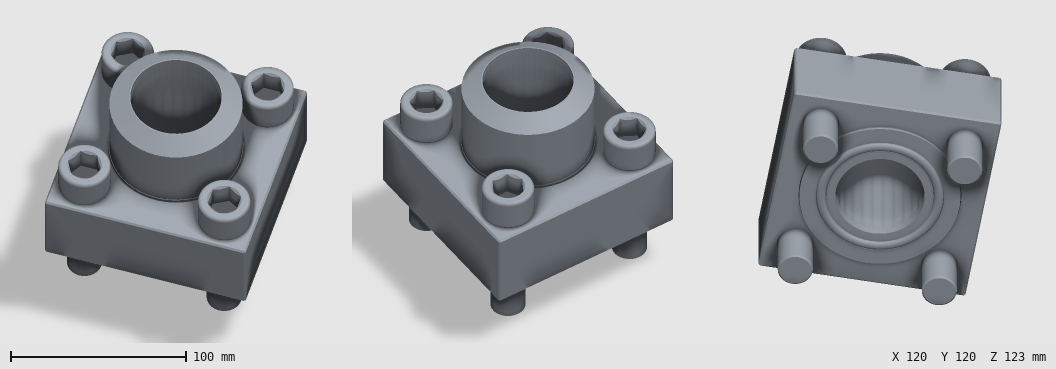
import cadquery as cq
import math

FLANGE_SIDE = 120.0
FLANGE_THICKNESS = 48.1
EDGE_CHAMFER = 1.0
FLANGE_BOTTOM = 26.9
FLANGE_TOP = FLANGE_BOTTOM + FLANGE_THICKNESS
NECK_HOLE_DIAMETER = 77.5
COUNTERBORE_DIAMETER = 93.0
COUNTERBORE_DEPTH = 17.2
SCREW_HOLE_DIAMETER = 21.0
SCREW_PITCH = 83.5

NECK_TOP = 123.0
NECK_BOTTOM = 25.2
NECK_DIAMETER = 76.1
COLLAR_DIAMETER = 77.0
COLLAR_RISE = 0.5
COLLAR_TOP = FLANGE_TOP + COLLAR_RISE
FOOT_DIAMETER = 92.0
FOOT_TOP = FLANGE_BOTTOM + COUNTERBORE_DEPTH
RIM_DIAMETER = 53.3
BEVEL_ANGLE = 30.0
BORE_TOP_DIAMETER = 52.2
BORE_BOTTOM_DIAMETER = 51.0
STRAIGHT_BORE_DEPTH = 24.0

GROOVE_INNER_DIAMETER = 61.5
GROOVE_OUTER_DIAMETER = 73.2
SEAL_PROTRUSION = 1.6
SEAL_CORD_RADIUS = (GROOVE_OUTER_DIAMETER - GROOVE_INNER_DIAMETER) / 4
SEAL_CENTRE_RADIUS = (GROOVE_OUTER_DIAMETER + GROOVE_INNER_DIAMETER) / 4
GROOVE_DEPTH = 2 * SEAL_CORD_RADIUS - SEAL_PROTRUSION

SHANK_DIAMETER = 20.0
SHANK_CHAMFER = 1.0
HEAD_DIAMETER = 30.0
HEAD_HEIGHT = 20.0
HEAD_FILLET = 2.0
SOCKET_CORNER_DIAMETER = 19.7
SOCKET_DEPTH = 14.0
SOCKET_CHAMFER_ANGLE = 45.0


def make_flange():
    block = (
        cq.Workplane("XY")
        .workplane(offset=FLANGE_BOTTOM)
        .rect(FLANGE_SIDE, FLANGE_SIDE)
        .extrude(FLANGE_THICKNESS)
        .edges()
        .chamfer(EDGE_CHAMFER)
    )
    block = (
        block.faces(">Z")
        .workplane(origin=(0, 0, FLANGE_TOP))
        .hole(NECK_HOLE_DIAMETER)
        .faces(">Z")
        .edges("%CIRCLE")
        .chamfer(EDGE_CHAMFER)
    )
    counterbore = (
        cq.Workplane("XY")
        .workplane(offset=FLANGE_BOTTOM)
        .circle(COUNTERBORE_DIAMETER / 2)
        .extrude(COUNTERBORE_DEPTH)
    )
    screw_holes = (
        cq.Workplane("XY")
        .workplane(offset=FLANGE_BOTTOM)
        .rect(SCREW_PITCH, SCREW_PITCH, forConstruction=True)
        .vertices()
        .circle(SCREW_HOLE_DIAMETER / 2)
        .extrude(FLANGE_THICKNESS)
    )
    return block.cut(counterbore).cut(screw_holes)


def make_weld_neck():
    bevel_width = (NECK_DIAMETER - RIM_DIAMETER) / 2
    bevel_height = bevel_width * math.tan(math.radians(BEVEL_ANGLE))
    body = (
        cq.Workplane("XZ")
        .moveTo(BORE_BOTTOM_DIAMETER / 2, NECK_BOTTOM)
        .lineTo(FOOT_DIAMETER / 2, NECK_BOTTOM)
        .lineTo(FOOT_DIAMETER / 2, FOOT_TOP)
        .lineTo(COLLAR_DIAMETER / 2, FOOT_TOP)
        .lineTo(COLLAR_DIAMETER / 2, COLLAR_TOP)
        .lineTo(NECK_DIAMETER / 2, COLLAR_TOP)
        .lineTo(NECK_DIAMETER / 2, NECK_TOP - bevel_height)
        .lineTo(RIM_DIAMETER / 2, NECK_TOP)
        .lineTo(BORE_TOP_DIAMETER / 2, NECK_TOP)
        .lineTo(BORE_TOP_DIAMETER / 2, NECK_TOP - STRAIGHT_BORE_DEPTH)
        .close()
        .revolve(360, (0, 0, 0), (0, 1, 0))
    )
    groove = (
        cq.Workplane("XY")
        .workplane(offset=NECK_BOTTOM)
        .circle(GROOVE_OUTER_DIAMETER / 2)
        .circle(GROOVE_INNER_DIAMETER / 2)
        .extrude(GROOVE_DEPTH)
    )
    return body.cut(groove)


def make_seal_ring():
    centre_height = NECK_BOTTOM - SEAL_PROTRUSION + SEAL_CORD_RADIUS
    return (
        cq.Workplane("XZ")
        .center(SEAL_CENTRE_RADIUS, centre_height)
        .circle(SEAL_CORD_RADIUS)
        .revolve(360, (-SEAL_CENTRE_RADIUS, 0, 0), (-SEAL_CENTRE_RADIUS, 1, 0))
    )


def make_screw():
    """Screw on the Z axis with its tip at Z = 0 and its head resting on the flange."""
    head_top = FLANGE_TOP + HEAD_HEIGHT
    shank = (
        cq.Workplane("XY")
        .circle(SHANK_DIAMETER / 2)
        .extrude(FLANGE_TOP)
        .faces("<Z")
        .chamfer(SHANK_CHAMFER)
    )
    head = (
        cq.Workplane("XY")
        .workplane(offset=FLANGE_TOP)
        .circle(HEAD_DIAMETER / 2)
        .extrude(HEAD_HEIGHT)
        .edges()
        .fillet(HEAD_FILLET)
    )
    socket = (
        cq.Workplane("XY")
        .workplane(offset=head_top - SOCKET_DEPTH)
        .polygon(6, SOCKET_CORNER_DIAMETER)
        .extrude(SOCKET_DEPTH)
    )
    mouth_radius = SOCKET_CORNER_DIAMETER / 2
    mouth_depth = mouth_radius * math.tan(math.radians(SOCKET_CHAMFER_ANGLE))
    mouth = cq.Workplane(
        cq.Solid.makeCone(0, mouth_radius, mouth_depth, cq.Vector(0, 0, head_top - mouth_depth))
    )
    return shank.union(head).cut(socket).cut(mouth)


def make_screws():
    """One screw per flange corner, each turned a quarter turn about Z from the one before."""
    corner = (SCREW_PITCH / 2, SCREW_PITCH / 2, 0)
    first = make_screw().translate(corner)
    return [first.rotate((0, 0, 0), (0, 0, 1), 90 * turn) for turn in range(4)]


flange = make_flange()
weld_neck = make_weld_neck()
seal_ring = make_seal_ring()
screws = make_screws()

result = cq.Compound.makeCompound(
    [flange.val(), weld_neck.val(), seal_ring.val(), *[screw.val() for screw in screws]]
)